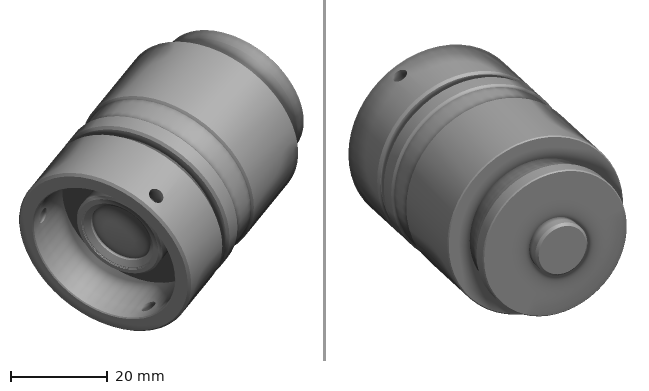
import cadquery as cq
import math

length = 58.6
body_radius = 40.6 / 2
edge_chamfer = 0.5
fine_chamfer = 0.25

collar_end = 14.3
bore_radius = 33.3 / 2
bore_depth = 12.3

neck_radius = 34.8 / 2
neck_step = 15.3
neck_step_radius = 36.0 / 2
ring_start = 16.3
band_radius = 39.6 / 2
band_start = 20.75
band_end = 26.7
body_end = 46.3

flare_radius = 15.25
flare_middle = 49.25
flare_middle_radius = 15.65
flange_radius = 33.3 / 2
flange_start = 52.25
flange_end = 55.3
spigot_radius = 12.0 / 2

mount_radius = 20.0 / 2
mount_front = 6.0
mount_chamfer = 0.45
seat_radius = 17.1 / 2
seat_depth = 0.1
seat_lip = 0.1
seat_inner_radius = 16.4 / 2
seat_ledge_radius = 16.75 / 2
lens_radius = 14.0 / 2
lens_edge = 7.8
lens_rim = 7.15
lens_bulge = 0.95

hole_diameter = 3.3
hole_station = 4.0
hole_count = 3
first_hole_angle = 60


def front_interior(profile):
    """Draw the lens, its mount and the collar bore from the axis to the front face."""
    middle_radius = lens_radius / 2
    sphere_radius = (lens_radius**2 + lens_bulge**2) / (2 * lens_bulge)
    lens_front = lens_edge - lens_bulge
    middle_drop = sphere_radius - math.sqrt(sphere_radius**2 - middle_radius**2)
    return (
        profile.moveTo(0, lens_front)
        .threePointArc((middle_radius, lens_front + middle_drop), (lens_radius, lens_edge))
        .lineTo(lens_radius, lens_rim)
        .lineTo(seat_inner_radius, mount_front + seat_depth + seat_lip)
        .lineTo(seat_ledge_radius, mount_front + seat_depth + seat_lip)
        .lineTo(seat_ledge_radius, mount_front + seat_depth)
        .lineTo(seat_radius, mount_front + seat_depth)
        .lineTo(seat_radius, mount_front)
        .lineTo(mount_radius - mount_chamfer, mount_front)
        .lineTo(mount_radius, mount_front + mount_chamfer)
        .lineTo(mount_radius, bore_depth)
        .lineTo(bore_radius, bore_depth)
        .lineTo(bore_radius, fine_chamfer)
        .lineTo(bore_radius + fine_chamfer, 0)
    )


def collar_and_body(profile):
    """Draw the outside from the front face to the rear shoulder of the body."""
    return (
        profile.lineTo(body_radius - edge_chamfer, 0)
        .lineTo(body_radius, edge_chamfer)
        .lineTo(body_radius, collar_end - edge_chamfer)
        .lineTo(body_radius - edge_chamfer, collar_end)
        .lineTo(neck_radius, collar_end)
        .lineTo(neck_radius, neck_step)
        .lineTo(neck_step_radius, neck_step)
        .lineTo(neck_step_radius, ring_start)
        .lineTo(body_radius - edge_chamfer, ring_start)
        .lineTo(body_radius, ring_start + edge_chamfer)
        .lineTo(body_radius, band_start - edge_chamfer)
        .lineTo(band_radius, band_start)
        .lineTo(band_radius, band_end)
        .lineTo(body_radius, band_end + edge_chamfer)
        .lineTo(body_radius, body_end - fine_chamfer)
        .lineTo(body_radius - fine_chamfer, body_end)
    )


def rear_end(profile):
    """Draw the flare, flange and spigot, finishing on the axis."""
    return (
        profile.lineTo(flare_radius, body_end)
        .threePointArc((flare_middle_radius, flare_middle), (flange_radius, flange_start))
        .lineTo(flange_radius, flange_end - fine_chamfer)
        .lineTo(flange_radius - fine_chamfer, flange_end)
        .lineTo(spigot_radius, flange_end)
        .lineTo(spigot_radius, length - edge_chamfer)
        .lineTo(spigot_radius - edge_chamfer, length)
        .lineTo(0, length)
    )


def radial_hole(angle):
    """Make a hole cutter pointing outward at an angle from +X toward +Z."""
    direction = cq.Vector(math.cos(math.radians(angle)), 0, math.sin(math.radians(angle)))
    start = direction * (bore_radius / 2) + cq.Vector(0, hole_station, 0)
    return cq.Solid.makeCylinder(hole_diameter / 2, body_radius, start, direction)


outline = rear_end(collar_and_body(front_interior(cq.Workplane("XY")))).close()
result = outline.revolve(360, (0, 0, 0), (0, 1, 0))
for index in range(hole_count):
    result = result.cut(radial_hole(first_hole_angle + index * 360 / hole_count))
result = result.translate((0, -length / 2, 0))